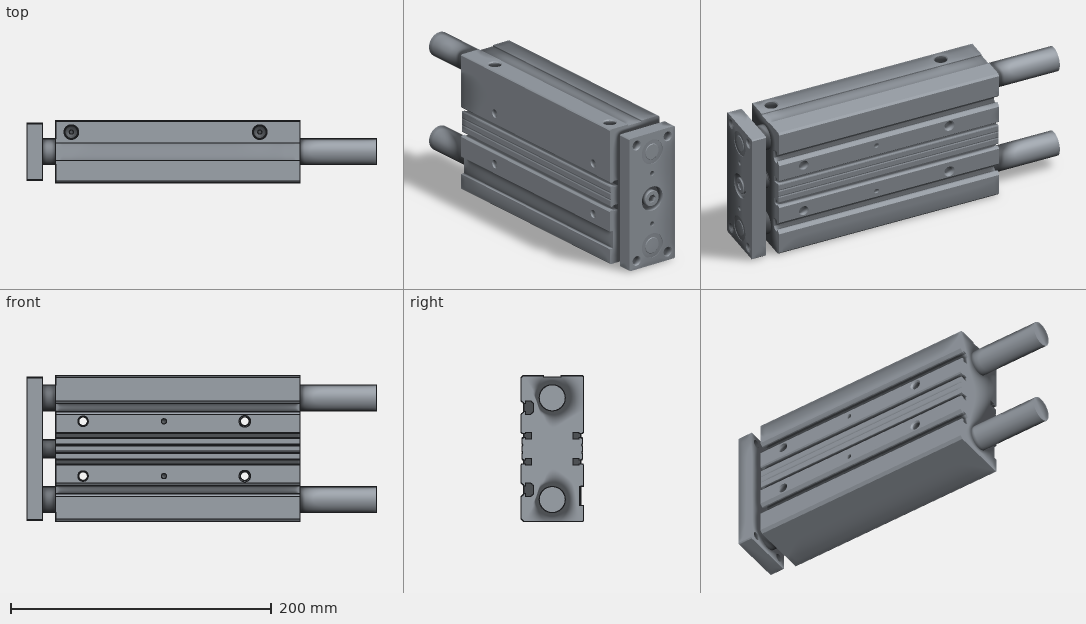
import cadquery as cq
import math


overall_length = 268.0

plate_thickness = 12.0
plate_width = 44.0
plate_height = 110.0
plate_chamfer = 0.8

housing_start = 22.0
housing_length = 187.5
housing_width = 48.0
housing_height = 112.0
top_front_chamfer = 1.5
bottom_front_chamfer = 2.2
rear_chamfer = 0.8

guide_rod_diameter = 20.0
guide_rod_spacing = 78.0
piston_rod_diameter = 14.0
piston_rod_insertion = 100.0
piston_rod_collar_diameter = 16.0
piston_rod_collar_height = 0.3

screw_end_diameter = 13.0
screw_end_chamfer = 0.4
screw_end_counterbore_diameter = 20.0
guide_counterbore_depth = 0.5
piston_counterbore_depth = 6.0
hex_socket_flats = 6.0
hex_socket_depth = 4.0

tap_drill_diameter = 6.6
thread_diameter = 8.0
plate_hole_spacing_y = 30.0
plate_hole_spacing_z = 96.0

pin_diameter = 4.0
pin_depth = 5.0
drill_tip_angle = 118.0
pin_row_spacing = 42.0

near_cross_hole_x = 43.0
far_cross_hole_x = 167.0
housing_pin_x = (near_cross_hole_x + far_cross_hole_x) / 2
near_counterbore_depth = 16.0
far_countersink_diameter = 8.8

port_x_positions = (34.0, 178.5)
port_y = 15.0
port_mouth_diameter = 11.2
port_bore_diameter = 9.7
port_depth = 8.0
port_passage_diameter = 3.2
port_passage_depth = 4.0

t_slot_z = 31.5
t_slot_mouth = 10.5
t_slot_neck = 6.0
t_slot_lip = 3.4
t_slot_depth = 9.5
t_slot_floor_chamfer = 2.0

sensor_slot_inner_z = 8.5
sensor_slot_outer_z = 11.6
sensor_slot_outer_chamfer = 0.9
sensor_slot_inner_chamfer = 0.7
sensor_slot_inner_chamfer_depth = 0.3
sensor_slot_lip = 3.5
sensor_slot_depth = 8.0
sensor_slot_undercut = 0.9
strip_recess = 0.8
strip_groove_z = 2.85
strip_groove_width = 1.8
strip_groove_depth = 0.4

top_relief_width = 13.4
top_relief_depth = 1.0
rear_groove_z = -36.1
rear_groove_width = 14.6
rear_groove_depth = 3.0

half_width = housing_width / 2
half_height = housing_height / 2
front_y = -half_width
strip_y = front_y + strip_recess
along_x = cq.Vector(1, 0, 0)
along_y = cq.Vector(0, 1, 0)
downward = cq.Vector(0, 0, -1)
guide_rod_z_positions = (-guide_rod_spacing / 2, guide_rod_spacing / 2)
pin_z_positions = (-pin_row_spacing / 2, pin_row_spacing / 2)


def cylinder(start, direction, diameter, length):
    return cq.Workplane(cq.Solid.makeCylinder(diameter / 2, length, cq.Vector(*start), direction))


def cone(start, direction, start_diameter, end_diameter, length):
    return cq.Workplane(
        cq.Solid.makeCone(start_diameter / 2, end_diameter / 2, length, cq.Vector(*start), direction)
    )


def countersink(start, direction, mouth_diameter, hole_diameter):
    """45 degree cone that narrows from the mouth to the hole."""
    return cone(start, direction, mouth_diameter, hole_diameter, (mouth_diameter - hole_diameter) / 2)


def drill_tip(start, direction, diameter):
    tip_length = diameter / 2 / math.tan(math.radians(drill_tip_angle / 2))
    return cone(start, direction, diameter, 0, tip_length)


def pin_hole(start, direction):
    """Blind hole with a drill-point bottom."""
    bottom = cq.Vector(*start) + direction * pin_depth
    bore = cylinder(start, direction, pin_diameter, pin_depth)
    return bore.union(drill_tip(bottom.toTuple(), direction, pin_diameter))


def housing_prism(points):
    """Closed (y, z) outline extruded over the full housing length."""
    return (
        cq.Workplane("YZ", origin=(housing_start, 0, 0))
        .polyline(points)
        .close()
        .extrude(housing_length)
    )


def housing_groove(y_limits, z_limits):
    """Rectangular cutter running the full housing length."""
    y_low, y_high = y_limits
    z_low, z_high = z_limits
    return housing_prism([(y_low, z_low), (y_high, z_low), (y_high, z_high), (y_low, z_high)])


def make_plate():
    plate = (
        cq.Workplane("XY")
        .box(plate_thickness, plate_width, plate_height, centered=(False, True, True))
        .edges("|X")
        .chamfer(plate_chamfer)
    )
    for y in (-plate_hole_spacing_y / 2, plate_hole_spacing_y / 2):
        for z in (-plate_hole_spacing_z / 2, plate_hole_spacing_z / 2):
            mouth = (0, y, z)
            plate = plate.cut(cylinder(mouth, along_x, tap_drill_diameter, plate_thickness))
            plate = plate.cut(countersink(mouth, along_x, thread_diameter, tap_drill_diameter))
    for z in pin_z_positions:
        plate = plate.cut(pin_hole((0, 0, z), along_x))
    plate = cut_screw_seat(plate, 0, piston_counterbore_depth)
    for z in guide_rod_z_positions:
        plate = cut_screw_seat(plate, z, guide_counterbore_depth)
    return plate


def cut_screw_seat(plate, z, counterbore_depth):
    """Through hole for a rod's screw end, counterbored from the outside."""
    mouth = (0, 0, z)
    plate = plate.cut(cylinder(mouth, along_x, screw_end_diameter, plate_thickness))
    return plate.cut(cylinder(mouth, along_x, screw_end_counterbore_diameter, counterbore_depth))


def make_rod(diameter, end, z):
    """Rod behind the plate with a narrower screw end that fills the plate's hole."""
    screw_end = (
        cylinder((0, 0, z), along_x, screw_end_diameter, plate_thickness)
        .faces("<X")
        .chamfer(screw_end_chamfer)
    )
    shaft = cylinder((plate_thickness, 0, z), along_x, diameter, end - plate_thickness)
    return screw_end.union(shaft)


def make_guide_rod(z):
    return make_rod(guide_rod_diameter, overall_length, z)


def make_piston_rod():
    rod = make_rod(piston_rod_diameter, housing_start + piston_rod_insertion, 0)
    hex_corner_diameter = hex_socket_flats / math.cos(math.radians(30))
    socket = cq.Workplane("YZ").polygon(6, hex_corner_diameter).extrude(hex_socket_depth)
    return rod.cut(socket)


def make_housing_block():
    rear_y = half_width
    return housing_prism([
        (front_y + bottom_front_chamfer, -half_height),
        (rear_y - rear_chamfer, -half_height),
        (rear_y, -half_height + rear_chamfer),
        (rear_y, half_height - rear_chamfer),
        (rear_y - rear_chamfer, half_height),
        (front_y + top_front_chamfer, half_height),
        (front_y, half_height - top_front_chamfer),
        (front_y, -half_height + bottom_front_chamfer),
    ])


def make_t_slot(z):
    """T-slot with a flared mouth and chamfered floor corners, open to the front."""
    flare = (t_slot_mouth - t_slot_neck) / 2
    lower_half = [
        (0, -t_slot_mouth / 2),
        (flare, -t_slot_neck / 2),
        (t_slot_lip, -t_slot_neck / 2),
        (t_slot_lip, -t_slot_mouth / 2),
        (t_slot_depth - t_slot_floor_chamfer, -t_slot_mouth / 2),
        (t_slot_depth, -t_slot_mouth / 2 + t_slot_floor_chamfer),
    ]
    upper_half = [(depth, -offset) for depth, offset in reversed(lower_half)]
    return housing_prism([(front_y + depth, z + offset) for depth, offset in lower_half + upper_half])


def make_sensor_slot():
    """Undercut slot above the grooved strip on the front side, chamfered along both edges."""
    strip_z = sensor_slot_inner_z - sensor_slot_inner_chamfer
    return housing_prism([
        (front_y, strip_z),
        (strip_y, strip_z),
        (strip_y + sensor_slot_inner_chamfer_depth, sensor_slot_inner_z),
        (front_y + sensor_slot_lip, sensor_slot_inner_z),
        (front_y + sensor_slot_lip, sensor_slot_inner_z - sensor_slot_undercut),
        (front_y + sensor_slot_depth, sensor_slot_inner_z - sensor_slot_undercut),
        (front_y + sensor_slot_depth, sensor_slot_outer_z + sensor_slot_undercut),
        (front_y + sensor_slot_lip, sensor_slot_outer_z + sensor_slot_undercut),
        (front_y + sensor_slot_lip, sensor_slot_outer_z),
        (front_y + sensor_slot_outer_chamfer, sensor_slot_outer_z),
        (front_y, sensor_slot_outer_z + sensor_slot_outer_chamfer),
    ])


def make_side_strip():
    """Cutter for the recessed grooved strip and its two sensor slots on the front side."""
    upper_slot = make_sensor_slot()
    strip = housing_groove((front_y, strip_y), (-sensor_slot_inner_z, sensor_slot_inner_z))
    cutter = strip.union(upper_slot).union(upper_slot.mirror("XY"))
    for z in (-strip_groove_z, strip_groove_z):
        cutter = cutter.union(housing_prism([
            (strip_y, z - strip_groove_width / 2),
            (strip_y + strip_groove_depth, z),
            (strip_y, z + strip_groove_width / 2),
        ]))
    return cutter


def cut_profile_grooves(housing):
    for z in (-t_slot_z, t_slot_z):
        housing = housing.cut(make_t_slot(z))
    side_strip = make_side_strip()
    housing = housing.cut(side_strip).cut(side_strip.mirror("XZ"))
    top_relief = housing_groove(
        (-top_relief_width / 2, top_relief_width / 2),
        (half_height - top_relief_depth, half_height),
    )
    rear_groove = housing_groove(
        (half_width - rear_groove_depth, half_width),
        (rear_groove_z - rear_groove_width / 2, rear_groove_z + rear_groove_width / 2),
    )
    return housing.cut(top_relief).cut(rear_groove)


def add_piston_rod_collar(housing):
    """Low raised ring around the piston rod on the plate side."""
    collar_start = (housing_start - piston_rod_collar_height, 0, 0)
    collar = cylinder(collar_start, along_x, piston_rod_collar_diameter, piston_rod_collar_height)
    return housing.union(collar)


def cut_rod_bores(housing):
    piston_bore_length = piston_rod_insertion + piston_rod_collar_height
    piston_bore_start = (housing_start - piston_rod_collar_height, 0, 0)
    housing = housing.cut(
        cylinder(piston_bore_start, along_x, piston_rod_diameter, piston_bore_length)
    )
    for z in guide_rod_z_positions:
        bore_start = (housing_start, 0, z)
        housing = housing.cut(cylinder(bore_start, along_x, guide_rod_diameter, housing_length))
    return housing


def cut_cross_holes(housing):
    """Two rows of mounting holes through the width, with a pin hole midway in each row."""
    for z in pin_z_positions:
        near = (near_cross_hole_x, front_y, z)
        far = (far_cross_hole_x, front_y, z)
        for mouth in (near, far):
            housing = housing.cut(cylinder(mouth, along_y, tap_drill_diameter, housing_width))
        housing = housing.cut(cylinder(near, along_y, thread_diameter, near_counterbore_depth))
        housing = housing.cut(
            countersink(far, along_y, far_countersink_diameter, tap_drill_diameter)
        )
        housing = housing.cut(pin_hole((housing_pin_x, front_y, z), along_y))
    return housing


def cut_ports(housing):
    """Countersunk ports with a drill-point bottom that opens into a small passage."""
    for x in port_x_positions:
        mouth = (x, port_y, half_height)
        bottom = (x, port_y, half_height - port_depth)
        housing = housing.cut(cylinder(mouth, downward, port_bore_diameter, port_depth))
        housing = housing.cut(countersink(mouth, downward, port_mouth_diameter, port_bore_diameter))
        housing = housing.cut(drill_tip(bottom, downward, port_bore_diameter))
        housing = housing.cut(
            cylinder(bottom, downward, port_passage_diameter, port_passage_depth)
        )
    return housing


def make_housing():
    housing = make_housing_block()
    housing = cut_profile_grooves(housing)
    housing = add_piston_rod_collar(housing)
    housing = cut_rod_bores(housing)
    housing = cut_cross_holes(housing)
    return cut_ports(housing)


plate = make_plate()
housing = make_housing()
piston_rod = make_piston_rod()
guide_rods = [make_guide_rod(z) for z in guide_rod_z_positions]

result = cq.Compound.makeCompound([
    plate.val(),
    housing.val(),
    piston_rod.val(),
    *[rod.val() for rod in guide_rods],
])